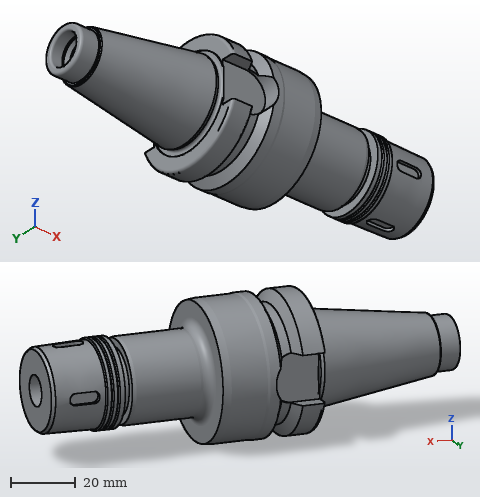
import cadquery as cq
import math

LENGTH = 138.4

ARC_MID = 1 - math.sqrt(0.5)

PILOT_R = 17.6 / 2
PILOT_TIP_R = 15.5 / 2
PILOT_CORNER = PILOT_R - PILOT_TIP_R
TAPER_X = 7.0
TAPER_CORNER_R = 19.0 / 2
TAPER_CORNER_LENGTH = 0.4
TAPER_RATIO = 7 / 24
GAUGE_X = 48.5
GAUGE_R = 31.7 / 2
TAPER_START_X = TAPER_X + TAPER_CORNER_LENGTH
TAPER_SMALL_R = GAUGE_R - (GAUGE_X - TAPER_START_X) * TAPER_RATIO / 2

NECK_X = 49.5
NECK_R = 30.9 / 2
NECK_FILLET = 0.8
RECESS_R = 17.5
RECESS_FLOOR_X = 50.8

FLANGE_X = 50.4
FLANGE_R = 23.0
FLANGE_FILLET = 1.1
V_CENTER_X = 62.0
V_FLOOR_WIDTH = 3.3
V_FLOOR_R = 19.1
V_FLANK_ANGLE = 30
V_HALF_FLOOR = V_FLOOR_WIDTH / 2
V_HALF_MOUTH = V_HALF_FLOOR + (FLANGE_R - V_FLOOR_R) * math.tan(math.radians(V_FLANK_ANGLE))
FLANGE_END_X = 69.5

BODY_X = 70.3
BODY_R = 45.5 / 2
BODY_TAPER_X = 82.3
BODY_END_X = 85.1
BODY_END_R = 22.4

ROOT_FILLET = 3.0
ROOT_R = 13.8
ROOT_X = BODY_END_X + ROOT_FILLET
HOLDER_R = 27.8 / 2
HOLDER_X = 89.0
HOLDER_END_X = 111.7
HOLDER_CHAMFER_LENGTH = 1.2
HOLDER_END_R = 13.5
SPINDLE_R = 22.0 / 2

NUT_X = 114.5
NUT_R = 29.0 / 2
RING_PITCH = 2.1
RING_GROOVE_CENTER = 116.5
RING_GROOVE_WIDTH = 0.8
RING_GROOVE_DEPTH = 0.5
RING_GROOVE_COUNT = 2
RING_END_X = 120.3
SLEEVE_X = 120.7
SLEEVE_R = 28.0 / 2
NOSE_X = 137.3
NOSE_R = 13.5
NOSE_TIP_R = 12.9

COUNTERBORE_R = 12.0 / 2
MOUTH_R = 13.5 / 2
MOUTH_FILLET = MOUTH_R - COUNTERBORE_R
COUNTERBORE_DEPTH = 4.8
UNDERCUT_R = 12.5 / 2
UNDERCUT_END_X = 5.4
CONE_END_X = 6.6
CONE_END_R = 10.5 / 2
BORE_X = 6.9
BORE_R = 10.0 / 2

DRIVE_COUNT = 2
DRIVE_WIDTH = 16.2
DRIVE_FLOOR_Y = 16.5
DRIVE_END_X = 67.5

SPANNER_COUNT = 4
SPANNER_CENTER_X = 127.6
SPANNER_LENGTH = 9.8
SPANNER_WIDTH = 3.9
SPANNER_FLOOR_R = 12.5


def turned_body():
    corner_mid = PILOT_CORNER * ARC_MID
    neck_mid = NECK_FILLET * ARC_MID
    flange_mid = FLANGE_FILLET * ARC_MID
    root_mid = ROOT_FILLET * ARC_MID
    profile = (
        cq.Workplane("XY")
        .lineTo(0, PILOT_TIP_R)
        .threePointArc((corner_mid, PILOT_R - corner_mid), (PILOT_CORNER, PILOT_R))
        .lineTo(TAPER_X, PILOT_R)
        .lineTo(TAPER_X, TAPER_CORNER_R)
        .lineTo(TAPER_START_X, TAPER_SMALL_R)
        .lineTo(GAUGE_X, GAUGE_R)
        .lineTo(NECK_X, NECK_R)
        .lineTo(RECESS_FLOOR_X - NECK_FILLET, NECK_R)
        .threePointArc(
            (RECESS_FLOOR_X - neck_mid, NECK_R + neck_mid),
            (RECESS_FLOOR_X, NECK_R + NECK_FILLET),
        )
        .lineTo(RECESS_FLOOR_X, RECESS_R)
        .lineTo(FLANGE_X, RECESS_R)
        .lineTo(FLANGE_X, FLANGE_R - FLANGE_FILLET)
        .threePointArc(
            (FLANGE_X + flange_mid, FLANGE_R - flange_mid),
            (FLANGE_X + FLANGE_FILLET, FLANGE_R),
        )
        .lineTo(V_CENTER_X - V_HALF_MOUTH, FLANGE_R)
        .lineTo(V_CENTER_X - V_HALF_FLOOR, V_FLOOR_R)
        .lineTo(V_CENTER_X + V_HALF_FLOOR, V_FLOOR_R)
        .lineTo(V_CENTER_X + V_HALF_MOUTH, FLANGE_R)
        .lineTo(FLANGE_END_X, FLANGE_R)
        .lineTo(BODY_X, BODY_R)
        .lineTo(BODY_TAPER_X, BODY_R)
        .lineTo(BODY_END_X, BODY_END_R)
        .lineTo(BODY_END_X, ROOT_R + ROOT_FILLET)
        .threePointArc((BODY_END_X + root_mid, ROOT_R + root_mid), (ROOT_X, ROOT_R))
        .lineTo(HOLDER_X, HOLDER_R)
        .lineTo(HOLDER_END_X - HOLDER_CHAMFER_LENGTH, HOLDER_R)
        .lineTo(HOLDER_END_X, HOLDER_END_R)
        .lineTo(HOLDER_END_X, SPINDLE_R)
        .lineTo(NUT_X, SPINDLE_R)
        .lineTo(NUT_X, NUT_R)
    )
    for i in range(RING_GROOVE_COUNT):
        center = RING_GROOVE_CENTER + i * RING_PITCH
        profile = (
            profile.lineTo(center - RING_GROOVE_WIDTH / 2, NUT_R)
            .lineTo(center, NUT_R - RING_GROOVE_DEPTH)
            .lineTo(center + RING_GROOVE_WIDTH / 2, NUT_R)
        )
    profile = (
        profile.lineTo(RING_END_X, NUT_R)
        .lineTo(SLEEVE_X, SLEEVE_R)
        .lineTo(NOSE_X, NOSE_R)
        .lineTo(LENGTH, NOSE_TIP_R)
        .lineTo(LENGTH, 0)
        .close()
    )
    return profile.revolve(360, (0, 0, 0), (1, 0, 0))


def bore():
    mouth_mid = MOUTH_FILLET * ARC_MID
    return (
        cq.Workplane("XY")
        .lineTo(0, MOUTH_R)
        .threePointArc((mouth_mid, COUNTERBORE_R + mouth_mid), (MOUTH_FILLET, COUNTERBORE_R))
        .lineTo(COUNTERBORE_DEPTH, COUNTERBORE_R)
        .lineTo(COUNTERBORE_DEPTH, UNDERCUT_R)
        .lineTo(UNDERCUT_END_X, UNDERCUT_R)
        .lineTo(UNDERCUT_END_X, COUNTERBORE_R)
        .lineTo(CONE_END_X, CONE_END_R)
        .lineTo(BORE_X, BORE_R)
        .lineTo(LENGTH, BORE_R)
        .lineTo(LENGTH, 0)
        .close()
        .revolve(360, (0, 0, 0), (1, 0, 0))
    )


def drive_slot():
    """Round-ended slot on the +Y side, open toward the taper."""
    radius = DRIVE_WIDTH / 2
    end_center_x = DRIVE_END_X - radius
    return (
        cq.Workplane("XZ", origin=(0, DRIVE_FLOOR_Y, 0))
        .moveTo(GAUGE_X, -radius)
        .lineTo(end_center_x, -radius)
        .threePointArc((DRIVE_END_X, 0), (end_center_x, radius))
        .lineTo(GAUGE_X, radius)
        .close()
        .extrude(-FLANGE_R)
    )


def spanner_slot():
    return (
        cq.Workplane("XY", origin=(SPANNER_CENTER_X, 0, SPANNER_FLOOR_R))
        .slot2D(SPANNER_LENGTH, SPANNER_WIDTH)
        .extrude(NUT_R)
    )


def around_axis(cutter, count):
    step = 360 / count
    return [cutter.rotate((0, 0, 0), (1, 0, 0), i * step) for i in range(count)]


result = turned_body().cut(bore())
drive_slots = around_axis(drive_slot(), DRIVE_COUNT)
spanner_slots = around_axis(spanner_slot(), SPANNER_COUNT)
for slot in drive_slots + spanner_slots:
    result = result.cut(slot)